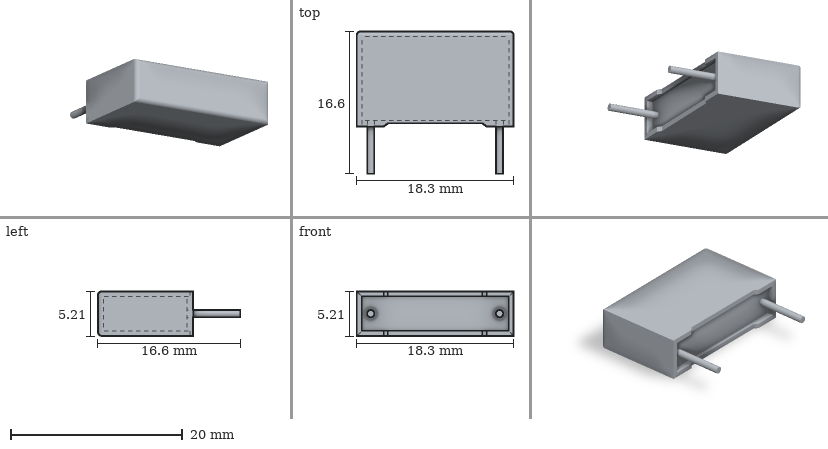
import cadquery as cq


WIDTH = 18.3
DEPTH = 11.1
HEIGHT = 5.21
WALL = 0.6
BACK_RADIUS = 0.5

NOTCH_MOUTH = 12.0
NOTCH_FLOOR = 11.0
NOTCH_DEPTH = 0.38

FILL_RECESS = 0.77

LEAD_PITCH = 15.0
LEAD_DIAMETER = 0.85
LEAD_PROTRUSION = 5.5

CAVITY_WIDTH = WIDTH - 2 * WALL
CAVITY_HEIGHT = HEIGHT - 2 * WALL
FILL_DEPTH = DEPTH - WALL - FILL_RECESS


def block(width, depth, height, front):
    """Box centred in X and Z that runs from y = front toward +Y."""
    return cq.Workplane("XY").box(width, depth, height, centered=(True, False, True)).translate((0, front, 0))


def make_notch():
    """Trapezoid that narrows toward +Y, cut through both broad walls."""
    return (
        cq.Workplane("XY")
        .moveTo(-NOTCH_MOUTH / 2, 0)
        .lineTo(-NOTCH_FLOOR / 2, NOTCH_DEPTH)
        .lineTo(NOTCH_FLOOR / 2, NOTCH_DEPTH)
        .lineTo(NOTCH_MOUTH / 2, 0)
        .close()
        .extrude(HEIGHT / 2, both=True)
    )


def make_housing():
    shell = block(WIDTH, DEPTH, HEIGHT, 0).faces(">Y").edges().fillet(BACK_RADIUS)
    cavity = block(CAVITY_WIDTH, DEPTH - WALL, CAVITY_HEIGHT, 0)
    return shell.cut(cavity).cut(make_notch())


def make_fill():
    return block(CAVITY_WIDTH, FILL_DEPTH, CAVITY_HEIGHT, FILL_RECESS)


def make_lead(x):
    """Round wire along Y that ends on the front face of the fill."""
    return (
        cq.Workplane("XZ", origin=(x, FILL_RECESS, 0))
        .circle(LEAD_DIAMETER / 2)
        .extrude(FILL_RECESS + LEAD_PROTRUSION)
    )


housing = make_housing()
fill = make_fill()
leads = [make_lead(side * LEAD_PITCH / 2) for side in (-1, 1)]

result = cq.Compound.makeCompound([housing.val(), fill.val(), *[lead.val() for lead in leads]])